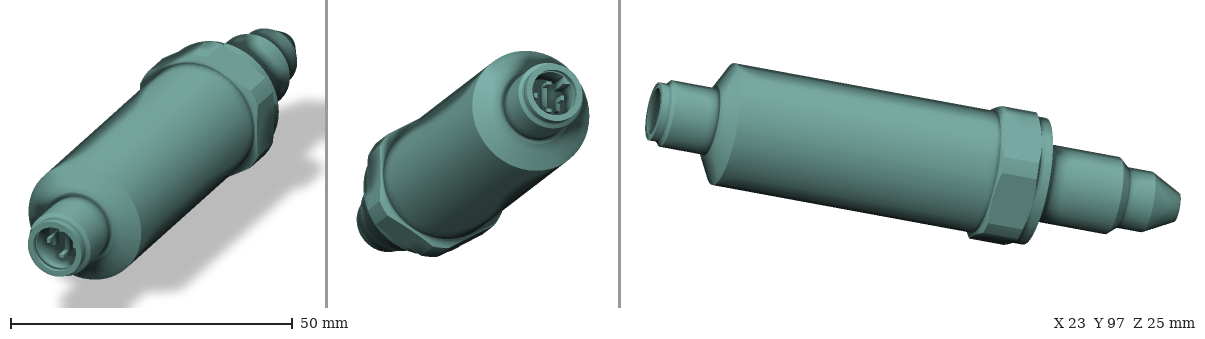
import cadquery as cq
import math

LENGTH = 97.0
PLUG_END_Y = -LENGTH / 2
TIP_Y = LENGTH / 2

PLUG_LIP_DIA = 10.5
PLUG_LIP_LENGTH = 1.6
NECK_DIA = 12.0
NECK_CONE_LENGTH = 0.7
NECK_LENGTH = 8.8

SHOULDER_DIA = 13.4
SHOULDER_CONE_LENGTH = 2.5
BODY_DIA = 22.0

HEX_START_Y = 12.5
HEX_SIDES = 6
HEX_ACROSS_FLATS = 23.0
HEX_CORNER_DIA = 25.0
HEX_LENGTH = 7.6
HEX_FACE_DIA = 22.3
HEX_CHAMFER = 0.6
COLLAR_DIA = 22.9
COLLAR_LENGTH = 2.0

STEM_DIA = 14.0
STEM_LENGTH = 14.5
STEM_CONE_LENGTH = 1.7
TIP_DIA = 11.0
TIP_LENGTH = 4.7
TIP_END_DIA = 5.2

SOCKET_DIA = 8.3
SOCKET_DEPTH = 6.8
GROOVE_DIA = 9.4
GROOVE_SETBACK = 0.8
GROOVE_WIDTH = 0.8
KEY_OFFSET = 2.2
PIN_SETBACK = 2.9
PIN_CIRCLE_RADIUS = 2.5
PIN_THICKNESS = 0.6
PIN_WIDTH = 0.9
RIB_SETBACK = 5.3
SIDE_RIB_BOTTOM_Z = -1.8

NECK_FACE_Y = PLUG_END_Y + PLUG_LIP_LENGTH
SHOULDER_Y = NECK_FACE_Y + NECK_LENGTH
BODY_START_Y = SHOULDER_Y + SHOULDER_CONE_LENGTH
HEX_END_Y = HEX_START_Y + HEX_LENGTH
COLLAR_END_Y = HEX_END_Y + COLLAR_LENGTH
STEM_END_Y = COLLAR_END_Y + STEM_LENGTH
TIP_START_Y = STEM_END_Y + STEM_CONE_LENGTH
TIP_CONE_Y = TIP_START_Y + TIP_LENGTH
SOCKET_FLOOR_Y = PLUG_END_Y + SOCKET_DEPTH
GROOVE_END_Y = PLUG_END_Y + GROOVE_SETBACK + GROOVE_WIDTH


def revolve_about_y(points):
    """Turn a closed outline of (radius, y) points about the Y axis."""
    return cq.Workplane("XY").polyline(points).close().revolve(360, (0, 0, 0), (0, 1, 0))


def along_y(start_y):
    """Workplane with X to the right and Z up, extruding toward -Y."""
    return cq.Workplane("XZ", origin=(0, start_y, 0))


def turned_body():
    """Solid of revolution from the plug end to the process tip, with the hexagon left out."""
    outline = [
        (0, PLUG_END_Y),
        (PLUG_LIP_DIA / 2, PLUG_END_Y),
        (PLUG_LIP_DIA / 2, NECK_FACE_Y),
        (NECK_DIA / 2, NECK_FACE_Y + NECK_CONE_LENGTH),
        (NECK_DIA / 2, SHOULDER_Y),
        (SHOULDER_DIA / 2, SHOULDER_Y),
        (BODY_DIA / 2, BODY_START_Y),
        (BODY_DIA / 2, HEX_END_Y),
        (COLLAR_DIA / 2, HEX_END_Y),
        (COLLAR_DIA / 2, COLLAR_END_Y),
        (STEM_DIA / 2, COLLAR_END_Y),
        (STEM_DIA / 2, STEM_END_Y),
        (TIP_DIA / 2, TIP_START_Y),
        (TIP_DIA / 2, TIP_CONE_Y),
        (TIP_END_DIA / 2, TIP_Y),
        (0, TIP_Y),
    ]
    return revolve_about_y(outline)


def hexagon():
    """Hexagon with flats facing +X and -X, its corners turned round and chamfered."""
    half_side_angle = 180 / HEX_SIDES
    sharp_corner_dia = HEX_ACROSS_FLATS / math.cos(math.radians(half_side_angle))
    prism = (
        along_y(HEX_END_Y)
        .transformed(rotate=(0, 0, half_side_angle))
        .polygon(HEX_SIDES, sharp_corner_dia)
        .extrude(HEX_LENGTH)
    )
    envelope = revolve_about_y([
        (0, HEX_START_Y),
        (HEX_FACE_DIA / 2, HEX_START_Y),
        (HEX_CORNER_DIA / 2, HEX_START_Y + HEX_CHAMFER),
        (HEX_CORNER_DIA / 2, HEX_END_Y - HEX_CHAMFER),
        (COLLAR_DIA / 2, HEX_END_Y),
        (0, HEX_END_Y),
    ])
    return prism.intersect(envelope)


def socket():
    """Grooved round socket whose upper +X corner is left standing as a key behind the groove."""
    bore = along_y(SOCKET_FLOOR_Y).circle(SOCKET_DIA / 2).extrude(SOCKET_DEPTH)
    key = (
        along_y(SOCKET_FLOOR_Y)
        .moveTo(KEY_OFFSET, KEY_OFFSET)
        .rect(SOCKET_DIA, SOCKET_DIA, centered=False)
        .extrude(SOCKET_FLOOR_Y - GROOVE_END_Y)
    )
    groove = along_y(GROOVE_END_Y).circle(GROOVE_DIA / 2).extrude(GROOVE_WIDTH)
    return bore.cut(key).union(groove)


def contact(x, z, width, height, setback):
    """Upright block centered at (x, z) on the socket floor, ending `setback` inside the plug end."""
    return along_y(SOCKET_FLOOR_Y).center(x, z).rect(width, height).extrude(SOCKET_DEPTH - setback)


def contacts():
    """Four pins on a circle; one rib joins the upper and lower pins, one hangs below each side pin."""
    center_rib_height = 2 * PIN_CIRCLE_RADIUS + PIN_THICKNESS
    side_rib_height = PIN_WIDTH / 2 - SIDE_RIB_BOTTOM_Z
    side_rib_z = PIN_WIDTH / 2 - side_rib_height / 2
    blocks = contact(0, 0, PIN_WIDTH, center_rib_height, RIB_SETBACK)
    for side in (-1, 1):
        pin_place = side * PIN_CIRCLE_RADIUS
        blocks = blocks.add(contact(0, pin_place, PIN_WIDTH, PIN_THICKNESS, PIN_SETBACK))
        blocks = blocks.add(contact(pin_place, 0, PIN_THICKNESS, PIN_WIDTH, PIN_SETBACK))
        blocks = blocks.add(contact(pin_place, side_rib_z, PIN_THICKNESS, side_rib_height, RIB_SETBACK))
    return blocks.combine()


result = turned_body().union(hexagon()).cut(socket()).union(contacts())